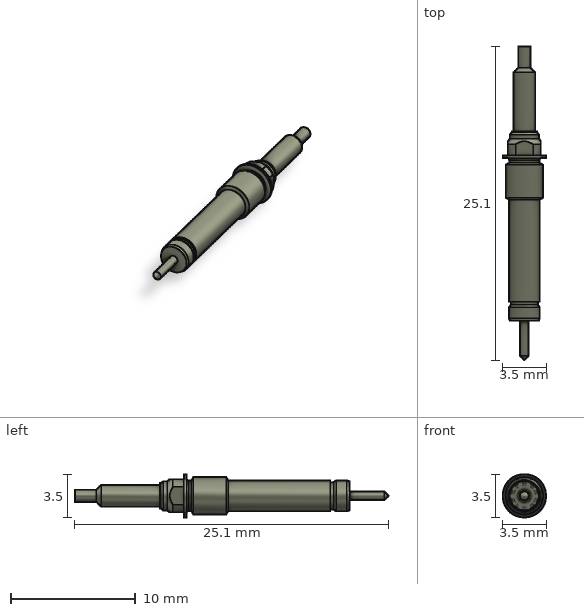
import cadquery as cq

OVERALL_LENGTH = 25.15

PIN_RADIUS = 0.35
PIN_POINT_LENGTH = PIN_RADIUS

BARREL_RADIUS = 1.245
NOSE_START = 3.15
NOSE_CHAMFER_LENGTH = 0.23
NOSE_CHAMFER_DEPTH = 0.08
GROOVE_START = 4.23
GROOVE_RAMP_LENGTH = 0.2
GROOVE_END = 4.68
GROOVE_RADIUS = 1.1

SHOULDER_RADIUS = 1.5
SHOULDER_START = 12.88
SHOULDER_RAMP_LENGTH = 0.15
SHOULDER_END = 15.82

NECK_RADIUS = 1.23
NECK_FLARE_LENGTH = 0.15
NECK_FLARE_HEIGHT = 0.05
WASHER_RADIUS = 1.748
WASHER_START = 16.2
WASHER_THICKNESS = 0.23

COLLAR_RADIUS = 1.5
FLAT_COUNT = 4
ACROSS_FLATS = 2.67
COLLAR_TAPER_START = 17.3
COLLAR_TAPER_END = 17.75
COLLAR_REAR_RADIUS = 1.18
COLLAR_REAR_CHAMFER_START = 18.05
COLLAR_LIP_START = 18.25
COLLAR_LIP_RADIUS = 1.03
COLLAR_END = 18.35

SLEEVE_RADIUS = 0.88
TAIL_RADIUS = 0.5
TAIL_START = 23.45
SLEEVE_END = TAIL_START - (SLEEVE_RADIUS - TAIL_RADIUS)


def turned_body():
    washer_end = WASHER_START + WASHER_THICKNESS
    profile = [
        (0, 0),
        (PIN_RADIUS, PIN_POINT_LENGTH),
        (PIN_RADIUS, NOSE_START),
        (BARREL_RADIUS - NOSE_CHAMFER_DEPTH, NOSE_START),
        (BARREL_RADIUS, NOSE_START + NOSE_CHAMFER_LENGTH),
        (BARREL_RADIUS, GROOVE_START),
        (GROOVE_RADIUS, GROOVE_START + GROOVE_RAMP_LENGTH),
        (GROOVE_RADIUS, GROOVE_END),
        (BARREL_RADIUS, GROOVE_END),
        (BARREL_RADIUS, SHOULDER_START),
        (SHOULDER_RADIUS, SHOULDER_START + SHOULDER_RAMP_LENGTH),
        (SHOULDER_RADIUS, SHOULDER_END - SHOULDER_RAMP_LENGTH),
        (NECK_RADIUS, SHOULDER_END),
        (NECK_RADIUS, WASHER_START - NECK_FLARE_LENGTH),
        (NECK_RADIUS + NECK_FLARE_HEIGHT, WASHER_START),
        (WASHER_RADIUS, WASHER_START),
        (WASHER_RADIUS, washer_end),
        (COLLAR_RADIUS, washer_end),
        (COLLAR_RADIUS, COLLAR_TAPER_START),
        (COLLAR_REAR_RADIUS, COLLAR_TAPER_END),
        (COLLAR_REAR_RADIUS, COLLAR_REAR_CHAMFER_START),
        (COLLAR_LIP_RADIUS, COLLAR_LIP_START),
        (COLLAR_LIP_RADIUS, COLLAR_END),
        (SLEEVE_RADIUS, COLLAR_END),
        (SLEEVE_RADIUS, SLEEVE_END),
        (TAIL_RADIUS, TAIL_START),
        (TAIL_RADIUS, OVERALL_LENGTH),
        (0, OVERALL_LENGTH),
    ]
    return cq.Workplane("XY").polyline(profile).close().revolve(360, (0, 0, 0), (0, 1, 0))


def cut_flats(body):
    flats_start = WASHER_START + WASHER_THICKNESS
    flats_length = COLLAR_END - flats_start
    cutter = (
        cq.Workplane("XY")
        .box(2 * COLLAR_RADIUS, flats_length, COLLAR_RADIUS, centered=(True, False, False))
        .translate((0, flats_start, ACROSS_FLATS / 2))
    )
    for index in range(FLAT_COUNT):
        angle = index * 360 / FLAT_COUNT
        body = body.cut(cutter.rotate((0, 0, 0), (0, 1, 0), angle))
    return body


result = cut_flats(turned_body())